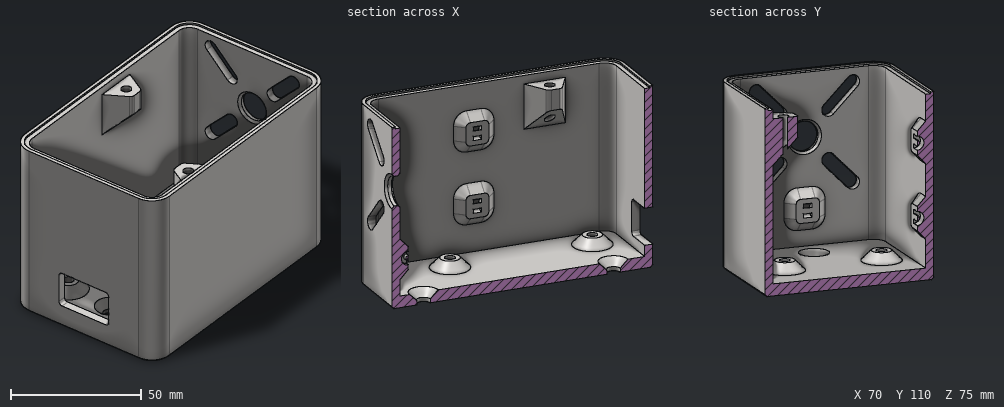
import cadquery as cq
import math

LENGTH_X = 70.0
LENGTH_Y = 110.0
HEIGHT = 75.0
WALL = 3.5
FLOOR = 5.0
CORNER_RADIUS = 8.5
BOTTOM_CHAMFER = 1.0
RIM_WIDTH = 1.5
RIM_DEPTH = 0.75

INNER_X = LENGTH_X / 2 - WALL
INNER_Y = LENGTH_Y / 2 - WALL

POST_X = 20.0
POST_NEAR_Y = -38.5
POST_FAR_Y = 21.5
POST_BASE_DIAMETER = 16.0
POST_TOP_DIAMETER = 8.0
POST_HEIGHT = 4.0
PILOT_DIAMETER = 4.15
SCREW_NEAR_Y = POST_NEAR_Y
SCREW_SPACING = 80.0
SCREW_FAR_Y = SCREW_NEAR_Y + SCREW_SPACING
SCREW_DIAMETER = 5.5
SCREW_HEAD_DIAMETER = 12.0
COUNTERSINK_ANGLE = 90.0

TAB_TOP = 70.75
TAB_LEFT_Y = 6.5
TAB_RIGHT_Y = -23.5
TAB_WIDTH = 17.5
TAB_REACH = 10.2
TAB_SIDE_ANGLE = 30.0
TAB_TIP_RADIUS = 2.0
TAB_TIP_HEIGHT = 8.5
TAB_HOLE_OFFSET = 5.0

ANCHOR_BASE = 17.0
ANCHOR_FACE = 9.6
ANCHOR_RADIUS = 5.5
ANCHOR_REACH = 3.5
ANCHOR_SIDE_Y = 6.35
ANCHOR_SIDE_HEIGHTS = (25.0, 55.0)
ANCHOR_BACK_HEIGHT = 20.0
TIE_OUTER_DIAMETER = 5.5
TIE_THICKNESS = 1.6
TIE_WIDTH = 3.5

WINDOW_WIDTH = 24.0
WINDOW_BOTTOM = 9.6
WINDOW_TOP = 24.7
WINDOW_RADIUS = 1.5

MOUNT_HEIGHT = 48.5
MOUNT_HOLE_DIAMETER = 12.0
MOUNT_HOLE_CHAMFER = 1.0
MOUNT_SLOT_OFFSET = 15.0
MOUNT_SLOT_SPAN = 10.0
MOUNT_SLOT_WIDTH = 5.5
MOUNT_SLOT_ANGLE = 45.0


def rounded_block(inset, bottom, top):
    """Upright block that follows the housing outline, moved inward by the inset."""
    return (
        cq.Workplane("XY", origin=(0, 0, bottom))
        .rect(LENGTH_X - 2 * inset, LENGTH_Y - 2 * inset)
        .extrude(top - bottom)
        .edges("|Z")
        .fillet(CORNER_RADIUS - inset)
    )


def make_housing():
    """Open box with a chamfered foot and a stepped rim for the lid."""
    body = rounded_block(0, 0, HEIGHT).faces("<Z").chamfer(BOTTOM_CHAMFER)
    body = body.cut(rounded_block(WALL, FLOOR, HEIGHT))
    return body.cut(rounded_block(RIM_WIDTH, HEIGHT - RIM_DEPTH, HEIGHT))


def make_post(x, y):
    """Conical board post with a blind pilot hole that stops at the floor."""
    post = (
        cq.Workplane("XY", origin=(x, y, FLOOR))
        .circle(POST_BASE_DIAMETER / 2)
        .workplane(offset=POST_HEIGHT)
        .circle(POST_TOP_DIAMETER / 2)
        .loft()
    )
    return post.faces(">Z").workplane(origin=(x, y, 0)).hole(PILOT_DIAMETER, POST_HEIGHT)


def make_tab(wall_side, y):
    """Lid tab on the -X (wall_side -1) or +X (wall_side 1) wall."""
    tip_half = TAB_WIDTH / 2 - TAB_REACH * math.tan(math.radians(TAB_SIDE_ANGLE))
    wall_height = TAB_TIP_HEIGHT + TAB_REACH
    wall_x = wall_side * INNER_X
    tip_x = wall_x - wall_side * TAB_REACH
    plan = (
        cq.Workplane("XY", origin=(0, y, TAB_TOP - wall_height))
        .moveTo(wall_x, -TAB_WIDTH / 2)
        .lineTo(wall_x, TAB_WIDTH / 2)
        .lineTo(tip_x, tip_half)
        .lineTo(tip_x, -tip_half)
        .close()
        .extrude(wall_height)
    )
    tip_edges = "|Z and >X" if wall_side < 0 else "|Z and <X"
    plan = plan.edges(tip_edges).fillet(TAB_TIP_RADIUS)
    profile = (
        cq.Workplane("XZ", origin=(0, y, 0))
        .moveTo(wall_x, TAB_TOP)
        .lineTo(tip_x, TAB_TOP)
        .lineTo(tip_x, TAB_TOP - TAB_TIP_HEIGHT)
        .lineTo(wall_x, TAB_TOP - wall_height)
        .close()
        .extrude(TAB_WIDTH, both=True)
    )
    hole = (
        cq.Workplane("XY", origin=(wall_x - wall_side * TAB_HOLE_OFFSET, y, TAB_TOP))
        .circle(PILOT_DIAMETER / 2)
        .extrude(-wall_height)
    )
    return plan.intersect(profile).cut(hole)


def make_anchor():
    """Tapered cable tie anchor on the XY plane, rising along +Z, tie loop in the XZ plane."""
    inset = (ANCHOR_BASE - ANCHOR_FACE) / 2
    taper = math.degrees(math.atan(inset / ANCHOR_REACH))
    outline = cq.Sketch().rect(ANCHOR_BASE, ANCHOR_BASE).vertices().fillet(ANCHOR_RADIUS)
    anchor = cq.Workplane("XY").placeSketch(outline).extrude(ANCHOR_REACH, taper=taper)
    tie_loop = (
        cq.Workplane("XZ", origin=(0, 0, ANCHOR_REACH))
        .circle(TIE_OUTER_DIAMETER / 2)
        .circle(TIE_OUTER_DIAMETER / 2 - TIE_THICKNESS)
        .extrude(TIE_WIDTH / 2, both=True)
    )
    return anchor.cut(tie_loop)


def side_anchor(height):
    """Cable tie anchor on the inside of the +X wall."""
    anchor = make_anchor().rotate((0, 0, 0), (0, 1, 0), -90)
    return anchor.translate((INNER_X, ANCHOR_SIDE_Y, height))


def back_anchor():
    """Cable tie anchor on the inside of the +Y wall."""
    anchor = make_anchor().rotate((0, 0, 0), (0, 0, 1), 90).rotate((0, 0, 0), (1, 0, 0), 90)
    return anchor.translate((0, INNER_Y, ANCHOR_BACK_HEIGHT))


def screw_hole(y):
    """Countersunk screw hole through the floor."""
    radial_step = (SCREW_HEAD_DIAMETER - SCREW_DIAMETER) / 2
    countersink_depth = radial_step / math.tan(math.radians(COUNTERSINK_ANGLE / 2))
    countersink = (
        cq.Workplane("XY", origin=(0, y, FLOOR))
        .circle(SCREW_HEAD_DIAMETER / 2)
        .workplane(offset=-countersink_depth)
        .circle(SCREW_DIAMETER / 2)
        .loft()
    )
    shank = cq.Workplane("XY", origin=(0, y, 0)).circle(SCREW_DIAMETER / 2).extrude(FLOOR)
    return countersink.union(shank)


def connector_window():
    """Rounded rectangular opening through the -Y wall."""
    return (
        cq.Workplane("XZ", origin=(0, -INNER_Y, (WINDOW_BOTTOM + WINDOW_TOP) / 2))
        .rect(WINDOW_WIDTH, WINDOW_TOP - WINDOW_BOTTOM)
        .extrude(WALL)
        .edges("|Y")
        .fillet(WINDOW_RADIUS)
    )


def light_mount():
    """Central hole, chamfered on both faces, and four diagonal slots through the +Y wall."""
    wall_plane = cq.Workplane("XZ", origin=(0, LENGTH_Y / 2, MOUNT_HEIGHT))
    hole_radius = MOUNT_HOLE_DIAMETER / 2
    cutter = wall_plane.circle(hole_radius).extrude(WALL)
    for face_offset, inward in ((0, 1), (WALL, -1)):
        bevel = (
            wall_plane.workplane(offset=face_offset)
            .circle(hole_radius + MOUNT_HOLE_CHAMFER)
            .workplane(offset=inward * MOUNT_HOLE_CHAMFER)
            .circle(hole_radius)
            .loft()
        )
        cutter = cutter.union(bevel)
    slot_length = MOUNT_SLOT_SPAN / math.cos(math.radians(MOUNT_SLOT_ANGLE)) + MOUNT_SLOT_WIDTH
    for side_x in (-1, 1):
        for side_z in (-1, 1):
            slot = (
                wall_plane.center(side_x * MOUNT_SLOT_OFFSET, side_z * MOUNT_SLOT_OFFSET)
                .slot2D(slot_length, MOUNT_SLOT_WIDTH, side_x * side_z * MOUNT_SLOT_ANGLE)
                .extrude(WALL)
            )
            cutter = cutter.union(slot)
    return cutter


result = make_housing()

for post_x in (-POST_X, POST_X):
    for post_y in (POST_NEAR_Y, POST_FAR_Y):
        result = result.union(make_post(post_x, post_y))

result = result.union(make_tab(-1, TAB_LEFT_Y))
result = result.union(make_tab(1, TAB_RIGHT_Y))

for anchor_height in ANCHOR_SIDE_HEIGHTS:
    result = result.union(side_anchor(anchor_height))
result = result.union(back_anchor())

for screw_y in (SCREW_NEAR_Y, SCREW_FAR_Y):
    result = result.cut(screw_hole(screw_y))
result = result.cut(connector_window())
result = result.cut(light_mount())